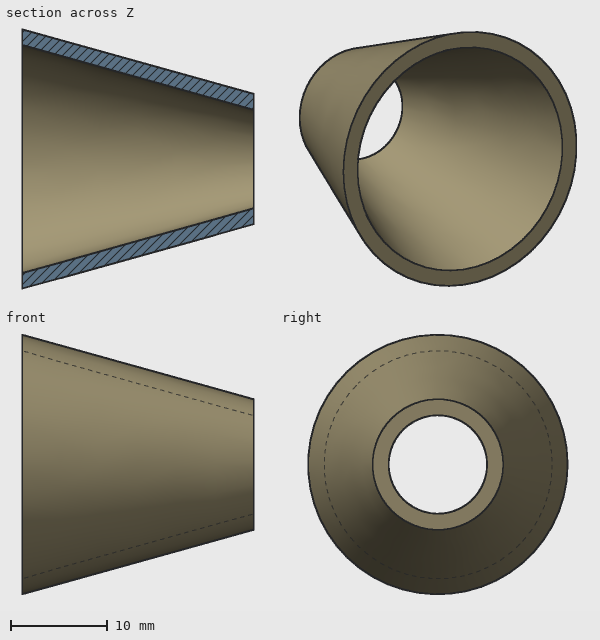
import cadquery as cq

length = 24.0
wide_outer_diameter = 26.9
narrow_outer_diameter = 13.53
wide_bore_diameter = 23.62
narrow_bore_diameter = 10.17


def cone_frustum(wide_diameter, narrow_diameter):
    """Solid cone frustum along +X, spanning the full length."""
    return (
        cq.Workplane("YZ")
        .circle(wide_diameter / 2)
        .workplane(offset=length)
        .circle(narrow_diameter / 2)
        .loft(ruled=True)
    )


outer_cone = cone_frustum(wide_outer_diameter, narrow_outer_diameter)
tapered_bore = cone_frustum(wide_bore_diameter, narrow_bore_diameter)

result = outer_cone.cut(tapered_bore)